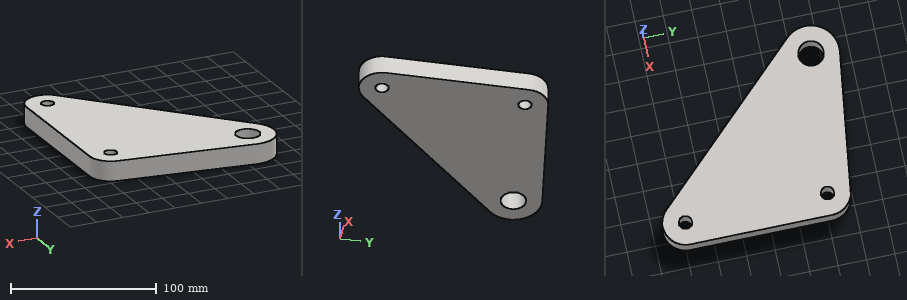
import cadquery as cq
import math

thickness = 15.0
pivot_radius = 20.0
pivot_hole_diameter = 17.5
mount_radius = 16.0
mount_hole_diameter = 9.0
mount_spacing = 100.0
pivot_reach = 100.0
pivot_drop = 9.9

pivot = (0, 0)
upper_mount = (pivot_reach, -pivot_drop)
lower_mount = (pivot_reach, -pivot_drop - mount_spacing)

corners = [
    (pivot, pivot_radius),
    (lower_mount, mount_radius),
    (upper_mount, mount_radius),
]


def point_on_circle(center, radius, angle):
    return (center[0] + radius * math.cos(angle), center[1] + radius * math.sin(angle))


def tangent_angle(start, end):
    """Direction from both centres to the outer tangent line, to the right of travel."""
    (start_center, start_radius), (end_center, end_radius) = start, end
    dx = end_center[0] - start_center[0]
    dy = end_center[1] - start_center[1]
    spread = math.acos((start_radius - end_radius) / math.hypot(dx, dy))
    return math.atan2(dy, dx) - spread


def plate_outline():
    """Outer tangent lines joined by an arc around each corner."""
    count = len(corners)
    edge_angles = [tangent_angle(corners[i], corners[(i + 1) % count]) for i in range(count)]
    outline = cq.Workplane("XY").moveTo(*point_on_circle(*corners[0], edge_angles[0]))
    for i in range(count):
        center, radius = corners[(i + 1) % count]
        arc_start = edge_angles[i]
        sweep = (edge_angles[(i + 1) % count] - arc_start) % (2 * math.pi)
        outline = outline.lineTo(*point_on_circle(center, radius, arc_start))
        outline = outline.threePointArc(
            point_on_circle(center, radius, arc_start + sweep / 2),
            point_on_circle(center, radius, arc_start + sweep),
        )
    return outline.close()


def through_holes(centers, diameter):
    return cq.Workplane("XY").pushPoints(centers).circle(diameter / 2).extrude(thickness)


plate = plate_outline().extrude(thickness)
plate = plate.cut(through_holes([pivot], pivot_hole_diameter))
result = plate.cut(through_holes([upper_mount, lower_mount], mount_hole_diameter))